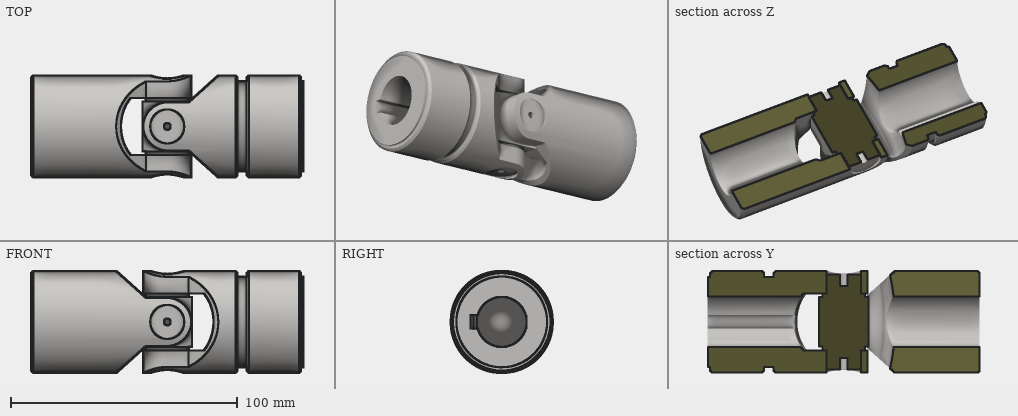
import cadquery as cq

half_length = 60.0
body_diameter = 45.0
body_radius = body_diameter / 2
bore_diameter = 22.0
edge_chamfer = 1.0

ear_radius = 10.6
ear_gap = 25.0
throat_radius = 18.5
throat_centre = 4.0
throat_sweep_radius = 80.0
taper_start = 22.5
taper_end = 9.3

block_size = 22.0
collar_diameter = 19.0
journal_diameter = 15.0
journal_span = 42.0
centre_hole_diameter = 3.0
centre_hole_depth = 5.0

groove_diameter = 40.0
groove_start = 31.0
groove_end = 35.0
spigot_length = 1.0

keyway_width = 6.0
keyway_reach = 13.8


def shaft(start, end, diameter):
    """Cylinder along X from start to end."""
    return cq.Workplane("YZ").workplane(offset=start).circle(diameter / 2).extrude(end - start)


def fork_profile():
    """Plan outline of a yoke lying on the +X side, its ears reaching the joint centre."""
    return (
        cq.Workplane("XY")
        .moveTo(half_length, -body_radius)
        .lineTo(taper_start, -body_radius)
        .lineTo(taper_end, -ear_radius)
        .lineTo(0, -ear_radius)
        .threePointArc((-ear_radius, 0), (0, ear_radius))
        .lineTo(taper_end, ear_radius)
        .lineTo(taper_start, body_radius)
        .lineTo(half_length, body_radius)
        .close()
        .extrude(body_radius, both=True)
    )


def fork_opening():
    """Flat-sided opening that separates the ears; its round bottom is swept along a wide arc."""
    throat = (
        cq.Workplane("XZ")
        .center(throat_centre, 0)
        .circle(throat_radius)
        .revolve(360, (-throat_sweep_radius, 0, 0), (-throat_sweep_radius, 1, 0))
    )
    mouth_length = body_radius + taper_end
    mouth_centre = taper_end - mouth_length / 2
    mouth = cq.Workplane("XY").box(mouth_length, body_diameter, body_diameter)
    gap = cq.Workplane("XY").box(2 * half_length, body_diameter, ear_gap)
    return throat.union(mouth.translate((mouth_centre, 0, 0))).intersect(gap)


def make_yoke(blank):
    """Cut fork, bore and journal holes into a turned blank; the ears lie at +Z and -Z."""
    journal_holes = cq.Workplane("XY").circle(journal_diameter / 2).extrude(body_radius, both=True)
    return (
        blank.intersect(fork_profile())
        .cut(fork_opening())
        .cut(shaft(0, half_length, bore_diameter))
        .cut(journal_holes)
    )


def make_input_yoke():
    """Plain yoke on the -X side with its ears at +Y and -Y."""
    blank = shaft(-ear_radius, half_length, body_diameter).faces(">X").chamfer(edge_chamfer)
    half_turn = make_yoke(blank).rotate((0, 0, 0), (0, 0, 1), 180)
    return half_turn.rotate((0, 0, 0), (1, 0, 0), 90)


def keyway():
    """Straight keyway on the -Y side of the bore, along its whole length."""
    key_space = cq.Workplane("XY").box(half_length, keyway_reach, keyway_width)
    return key_space.translate((half_length / 2, -keyway_reach / 2, 0))


def make_output_yoke():
    """Grooved yoke on the +X side with its ears at +Z and -Z."""
    front = shaft(-ear_radius, groove_start, body_diameter).faces(">X").chamfer(edge_chamfer)
    rear = shaft(groove_end, half_length - spigot_length, body_diameter)
    rear = rear.faces("<X or >X").chamfer(edge_chamfer)
    core = shaft(0, half_length, groove_diameter)
    return make_yoke(front.union(core).union(rear)).cut(keyway())


def make_cross():
    """Square block with a collar, a journal and a centre hole towards each of the four ears."""
    cross = cq.Workplane("XY").box(block_size, block_size, block_size)
    for plane in ("XY", "XZ"):
        base = cq.Workplane(plane)
        cross = cross.union(base.circle(collar_diameter / 2).extrude(ear_gap / 2, both=True))
        cross = cross.union(base.circle(journal_diameter / 2).extrude(journal_span / 2, both=True))
    for face in (">Z", "<Z", ">Y", "<Y"):
        cross = cross.faces(face).workplane(origin=(0, 0, 0)).hole(centre_hole_diameter, centre_hole_depth)
    return cross


input_yoke = make_input_yoke()
output_yoke = make_output_yoke()
cross = make_cross()

result = cq.Compound.makeCompound([input_yoke.val(), output_yoke.val(), cross.val()])